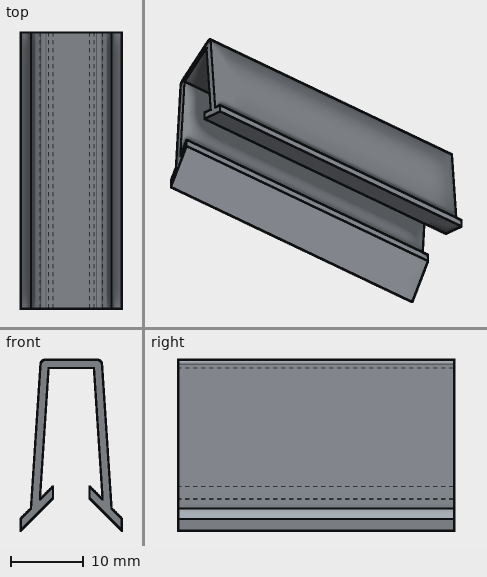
import cadquery as cq
import math

length = 38.1
height = 23.62
foot_width = 14.0
wall = 1.2
inner_top_width = 6.2
wall_lean = 3.8
lip_gap = 5.03
foot_angle = 45.0
corner_radius = 0.75

foot_half = foot_width / 2
lip_half = lip_gap / 2
ceiling = height - wall
foot_slope = math.tan(math.radians(foot_angle))
lean_slope = math.tan(math.radians(wall_lean))
foot_end_height = wall / math.cos(math.radians(foot_angle))
inner_top_half = inner_top_width / 2
wall_width = wall / math.cos(math.radians(wall_lean))
outer_top_half = inner_top_half - wall * lean_slope + wall_width


def foot_bottom(x):
    """Height of the sloping underside of a foot at distance x from the centre."""
    return (foot_half - x) * foot_slope


def wall_meets_foot(x_start, z_start):
    """Point where a leaning wall face, followed down, reaches the top of the foot."""
    foot_top = foot_bottom(x_start) + foot_end_height
    drop = (z_start - foot_top) / (1 - lean_slope * foot_slope)
    return (x_start + drop * lean_slope, z_start - drop)


half_profile = [
    (outer_top_half, height),
    wall_meets_foot(outer_top_half, height),
    (foot_half, foot_end_height),
    (foot_half, 0),
    (lip_half, foot_bottom(lip_half)),
    (lip_half, foot_bottom(lip_half) + foot_end_height),
    wall_meets_foot(inner_top_half, ceiling),
    (inner_top_half, ceiling),
]
mirrored_half = [(-x, z) for x, z in reversed(half_profile)]

clip = (
    cq.Workplane("XZ")
    .polyline(half_profile + mirrored_half)
    .close()
    .extrude(length / 2, both=True)
)

result = clip.faces(">Z").edges("|Y").fillet(corner_radius)